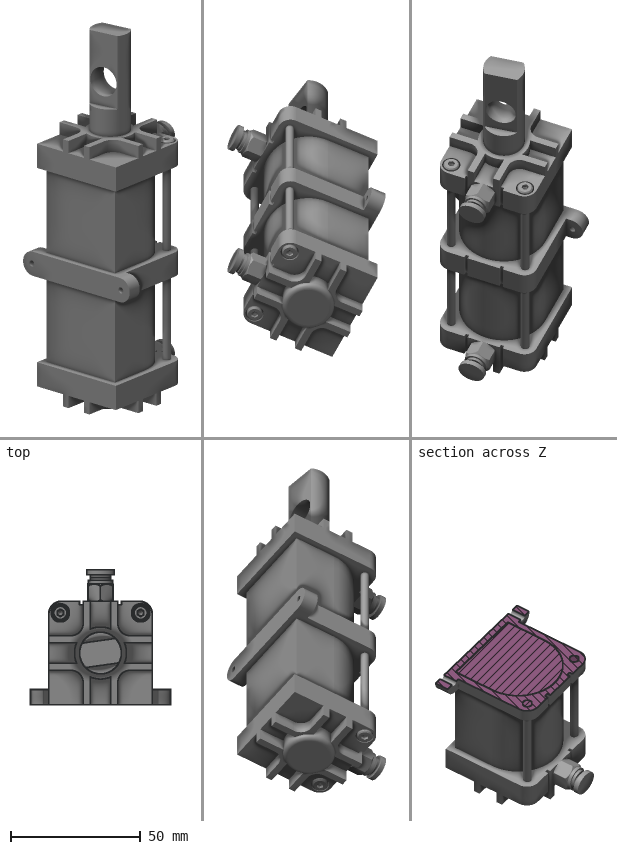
import cadquery as cq
import math


cap_width = 40.0
slab_thickness = 10.0
rib_height = 5.0
cap_height = slab_thickness + rib_height
cap_corner_radius = 5.0
rib_pair_outer = 13.3
rib_pair_inner = 8.0
hub_diameter = 20.0
rib_corner_radius = 4.7
notch_width = 1.4
notch_depth = 1.4
boss_height = 2.0

tube_width = 34.7
tube_length = 79.9

clamp_height = 10.0
ear_span = 54.0
ear_thickness = 6.0
ear_hole_diameter = 2.5
ear_hole_spacing = 45.1

rod_diameter = 16.0
rod_reach = 41.2
flat_length = 30.0
flat_thickness = 9.5
flat_turn = 8.0
eye_diameter = 12.0
eye_from_end = 20.0

tie_diameter = 3.4
tie_spacing = 30.9
head_diameter = 6.0
head_chamfer = 0.5
head_rise = 0.6
counterbore_diameter = 7.0
counterbore_depth = 3.0
socket_width = 2.5
socket_depth = 1.2
socket_tip_depth = 0.8

hex_width = 9.8
hex_length = 6.7
hex_base_chamfer = 0.5
shoulder_diameter = 9.5
shoulder_end = 8.0
collar_diameter = 8.0
collar_end = 9.0
button_neck_width = 8.0
button_neck_height = 5.5
button_start = 10.1
button_width = 10.7
button_height = 8.7
button_end = 12.1

half_cap = cap_width / 2
bottom_rib_z = boss_height
bottom_floor_z = bottom_rib_z + rib_height
tube_bottom_z = boss_height + cap_height
tube_top_z = tube_bottom_z + tube_length
top_floor_z = tube_top_z + slab_thickness
rod_end_z = tube_top_z + cap_height + rod_reach
clamp_z = tube_bottom_z + (tube_length - clamp_height) / 2
tie_places = [(side * tie_spacing / 2, tie_spacing / 2) for side in (-1, 1)]


def plate(height):
    """Square plate on Z = 0 with rounded rear corners, two rear notches and holes for the tie rods."""
    body = (
        cq.Workplane("XY")
        .rect(cap_width, cap_width)
        .extrude(height)
        .edges("|Z and >Y")
        .fillet(cap_corner_radius)
    )
    notch_x = (rib_pair_outer + notch_width) / 2
    notches = (
        cq.Workplane("XY")
        .pushPoints([(-notch_x, half_cap), (notch_x, half_cap)])
        .rect(notch_width, 2 * notch_depth)
        .extrude(height)
    )
    tie_holes = cq.Workplane("XY").pushPoints(tie_places).circle(tie_diameter / 2).extrude(height)
    return body.cut(notches).cut(tie_holes)


def cap_ribs():
    """Crossed pairs of ribs on Z = 0 that run into a round hub."""
    cross = (
        cq.Workplane("XY")
        .rect(rib_pair_outer, cap_width)
        .extrude(rib_height)
        .union(cq.Workplane("XY").rect(cap_width, rib_pair_outer).extrude(rib_height))
    )
    inner_corners = cq.selectors.BoxSelector(
        (-rib_pair_outer, -rib_pair_outer, 0), (rib_pair_outer, rib_pair_outer, rib_height)
    )
    cross = cross.edges("|Z").edges(inner_corners).fillet(rib_corner_radius)
    channels = (
        cq.Workplane("XY")
        .rect(rib_pair_inner, cap_width)
        .extrude(rib_height)
        .union(cq.Workplane("XY").rect(cap_width, rib_pair_inner).extrude(rib_height))
    )
    hub = cq.Workplane("XY").circle(hub_diameter / 2).extrude(rib_height)
    return cross.cut(channels.cut(hub))


def make_cap():
    """Cap with its tube side on Z = 0 and its ribs on top."""
    counterbores = (
        cq.Workplane("XY")
        .workplane(offset=slab_thickness)
        .pushPoints(tie_places)
        .circle(counterbore_diameter / 2)
        .extrude(-counterbore_depth)
    )
    slab = plate(slab_thickness).cut(counterbores)
    return slab.union(cap_ribs().translate((0, 0, slab_thickness)))


def make_top_cap():
    rod_hole = cq.Workplane("XY").circle(rod_diameter / 2).extrude(cap_height)
    return make_cap().cut(rod_hole).translate((0, 0, tube_top_z))


def make_bottom_cap():
    boss = (
        cq.Workplane("XY")
        .workplane(offset=slab_thickness)
        .circle(hub_diameter / 2)
        .extrude(rib_height + boss_height)
        .faces(">Z")
        .edges()
        .fillet(boss_height)
    )
    cap = make_cap().union(boss)
    return cap.mirror("XY").translate((0, 0, tube_bottom_z))


def tube_prism(length):
    """Prism on Z = 0 with a square front and a half-round rear."""
    radius = tube_width / 2
    return (
        cq.Workplane("XY")
        .moveTo(-radius, 0)
        .lineTo(-radius, -radius)
        .lineTo(radius, -radius)
        .lineTo(radius, 0)
        .threePointArc((0, radius), (-radius, 0))
        .close()
        .extrude(length)
    )


def make_tube():
    return tube_prism(tube_length).translate((0, 0, tube_bottom_z))


def make_clamp():
    front = cq.Workplane("XZ", origin=(0, -half_cap, clamp_height / 2))
    ears = front.slot2D(ear_span, clamp_height).extrude(-ear_thickness)
    ear_holes = (
        front.pushPoints([(-ear_hole_spacing / 2, 0), (ear_hole_spacing / 2, 0)])
        .circle(ear_hole_diameter / 2)
        .extrude(-ear_thickness)
    )
    clamp = plate(clamp_height).union(ears).cut(ear_holes).cut(tube_prism(clamp_height))
    return clamp.translate((0, 0, clamp_z))


def make_piston_rod():
    """Rod that reaches from the tube through the top cap, with two flats and an eye at its end."""
    rod = (
        cq.Workplane("XY")
        .workplane(offset=tube_top_z)
        .circle(rod_diameter / 2)
        .extrude(rod_end_z - tube_top_z)
    )
    outside_flats = (
        cq.Workplane("XY")
        .workplane(offset=rod_end_z)
        .rect(2 * rod_diameter, 2 * rod_diameter)
        .rect(2 * rod_diameter, flat_thickness)
        .extrude(-flat_length)
    )
    eye = (
        cq.Workplane("XZ", origin=(0, -rod_diameter / 2, rod_end_z - eye_from_end))
        .circle(eye_diameter / 2)
        .extrude(-rod_diameter)
    )
    return rod.cut(outside_flats).cut(eye).rotate((0, 0, 0), (0, 0, 1), flat_turn)


def tie_head():
    """Chamfered head from Z = 0 up, with a hexagonal socket that ends in a cone."""
    height = counterbore_depth + head_rise
    head = (
        cq.Workplane("XY")
        .circle(head_diameter / 2)
        .extrude(height)
        .faces(">Z")
        .edges()
        .chamfer(head_chamfer)
    )
    socket = (
        cq.Workplane("XY")
        .workplane(offset=height)
        .polygon(6, socket_width, circumscribed=True)
        .extrude(-socket_depth)
    )
    tip = cq.Solid.makeCone(
        0,
        socket_width / 2,
        socket_tip_depth,
        pnt=cq.Vector(0, 0, height - socket_depth - socket_tip_depth),
    )
    return head.cut(socket).cut(cq.Workplane(tip))


def make_tie_rod(place):
    """Tie rod through both caps and the clamp, seated in their counterbores."""
    lower_seat_z = bottom_floor_z + counterbore_depth
    upper_seat_z = top_floor_z - counterbore_depth
    shank = (
        cq.Workplane("XY")
        .workplane(offset=lower_seat_z)
        .circle(tie_diameter / 2)
        .extrude(upper_seat_z - lower_seat_z)
    )
    upper_head = tie_head().translate((0, 0, upper_seat_z))
    lower_head = tie_head().mirror("XY").translate((0, 0, lower_seat_z))
    return shank.union(upper_head).union(lower_head).translate((*place, 0))


def make_fitting(height):
    """Push-in air fitting that stands on the rear face of a cap, its axis along Y."""

    def section(start):
        return cq.Workplane("XZ", origin=(0, half_cap + start, height))

    hex_corner_radius = hex_width / math.sqrt(3)
    corner_cut = hex_corner_radius - shoulder_diameter / 2
    chamfered_bar = (
        section(0)
        .circle(hex_corner_radius)
        .extrude(-hex_length)
        .faces(">Y")
        .edges()
        .chamfer(corner_cut)
        .faces("<Y")
        .edges()
        .chamfer(hex_base_chamfer)
    )
    hexagon = (
        section(0)
        .polygon(6, hex_width, circumscribed=True)
        .extrude(-hex_length)
        .intersect(chamfered_bar)
    )
    shoulder = section(hex_length).circle(shoulder_diameter / 2).extrude(hex_length - shoulder_end)
    collar = section(shoulder_end).circle(collar_diameter / 2).extrude(shoulder_end - collar_end)
    button_neck = (
        section(collar_end)
        .ellipse(button_neck_width / 2, button_neck_height / 2)
        .extrude(collar_end - button_start)
    )
    button = (
        section(button_start)
        .ellipse(button_width / 2, button_height / 2)
        .extrude(button_start - button_end)
    )
    return hexagon.union(shoulder).union(collar).union(button_neck).union(button)


tube = make_tube()
bottom_cap = make_bottom_cap()
top_cap = make_top_cap()
clamp = make_clamp()
piston_rod = make_piston_rod()
tie_rods = [make_tie_rod(place) for place in tie_places]
fitting_heights = [tube_bottom_z - slab_thickness / 2, tube_top_z + slab_thickness / 2]
fittings = [make_fitting(height) for height in fitting_heights]

result = cq.Compound.makeCompound(
    [
        tube.val(),
        bottom_cap.val(),
        top_cap.val(),
        clamp.val(),
        piston_rod.val(),
        *[tie_rod.val() for tie_rod in tie_rods],
        *[fitting.val() for fitting in fittings],
    ]
)